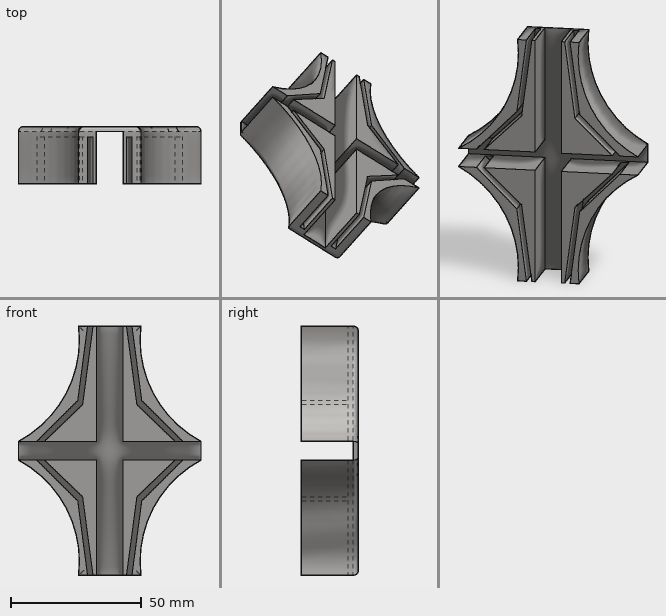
import cadquery as cq
import math

WIDTH = 70.0
DEPTH = 22.0
HEIGHT = 95.5

PLATE_THICKNESS = 2.0
BACK_EDGE_RADIUS = 1.95
VERTICAL_CHANNEL_WIDTH = 10.2
HORIZONTAL_CHANNEL_WIDTH = 7.2
LONG_ARM_END_WIDTH = 24.0
FLANK_RADIUS = 44.0

SLOT_FLOOR_THICKNESS = 4.0
SLOT_INNER_END_X = 6.4
SLOT_INNER_BEND = (10.4, 17.65)
SLOT_INNER_FOOT_X = 25.0
SLOT_OUTER_END_X = 8.5
SLOT_OUTER_BEND = (12.25, 19.25)
SLOT_OUTER_FOOT_X = 27.95

HALF_WIDTH = WIDTH / 2
HALF_HEIGHT = HEIGHT / 2
HALF_END_WIDTH = LONG_ARM_END_WIDTH / 2
HALF_TIP_HEIGHT = HORIZONTAL_CHANNEL_WIDTH / 2
BACK_Y = DEPTH / 2
FRONT_Y = -DEPTH / 2


def flank_midpoint():
    """Point halfway along the concave flank of the +X, +Z quarter."""
    chord_x = HALF_WIDTH - HALF_END_WIDTH
    chord_z = HALF_HEIGHT - HALF_TIP_HEIGHT
    half_chord = math.hypot(chord_x, chord_z) / 2
    sagitta = FLANK_RADIUS - math.sqrt(FLANK_RADIUS**2 - half_chord**2)
    x = (HALF_WIDTH + HALF_END_WIDTH) / 2 - sagitta * chord_z / (2 * half_chord)
    z = (HALF_HEIGHT + HALF_TIP_HEIGHT) / 2 - sagitta * chord_x / (2 * half_chord)
    return x, z


def make_body():
    """Four-armed star with concave flanks and a rounded back edge."""
    mid_x, mid_z = flank_midpoint()
    return (
        cq.Workplane("XZ", origin=(0, BACK_Y, 0))
        .moveTo(HALF_WIDTH, -HALF_TIP_HEIGHT)
        .lineTo(HALF_WIDTH, HALF_TIP_HEIGHT)
        .threePointArc((mid_x, mid_z), (HALF_END_WIDTH, HALF_HEIGHT))
        .lineTo(-HALF_END_WIDTH, HALF_HEIGHT)
        .threePointArc((-mid_x, mid_z), (-HALF_WIDTH, HALF_TIP_HEIGHT))
        .lineTo(-HALF_WIDTH, -HALF_TIP_HEIGHT)
        .threePointArc((-mid_x, -mid_z), (-HALF_END_WIDTH, -HALF_HEIGHT))
        .lineTo(HALF_END_WIDTH, -HALF_HEIGHT)
        .threePointArc((mid_x, -mid_z), (HALF_WIDTH, -HALF_TIP_HEIGHT))
        .close()
        .extrude(DEPTH)
        .faces(">Y")
        .edges()
        .fillet(BACK_EDGE_RADIUS)
    )


def make_channels():
    """Crossed channels, open at the front and through both pairs of arm ends."""
    channel_depth = DEPTH - PLATE_THICKNESS
    plane = cq.Workplane("XZ", origin=(0, FRONT_Y + channel_depth, 0))
    vertical = plane.rect(VERTICAL_CHANNEL_WIDTH, HEIGHT).extrude(channel_depth)
    horizontal = plane.rect(WIDTH, HORIZONTAL_CHANNEL_WIDTH).extrude(channel_depth)
    return vertical.union(horizontal)


def make_slot():
    """Bent slot of the +X, +Z block, from the long arm end to the side channel."""
    slot_depth = DEPTH - SLOT_FLOOR_THICKNESS
    return (
        cq.Workplane("XZ", origin=(0, FRONT_Y + slot_depth, 0))
        .moveTo(SLOT_INNER_END_X, HALF_HEIGHT)
        .lineTo(*SLOT_INNER_BEND)
        .lineTo(SLOT_INNER_FOOT_X, HALF_TIP_HEIGHT)
        .lineTo(SLOT_OUTER_FOOT_X, HALF_TIP_HEIGHT)
        .lineTo(*SLOT_OUTER_BEND)
        .lineTo(SLOT_OUTER_END_X, HALF_HEIGHT)
        .close()
        .extrude(slot_depth)
    )


def make_slots():
    """The same slot mirrored into all four blocks."""
    right_upper = make_slot()
    upper = right_upper.union(right_upper.mirror("YZ"))
    return upper.union(upper.mirror("XY"))


result = make_body().cut(make_channels()).cut(make_slots())